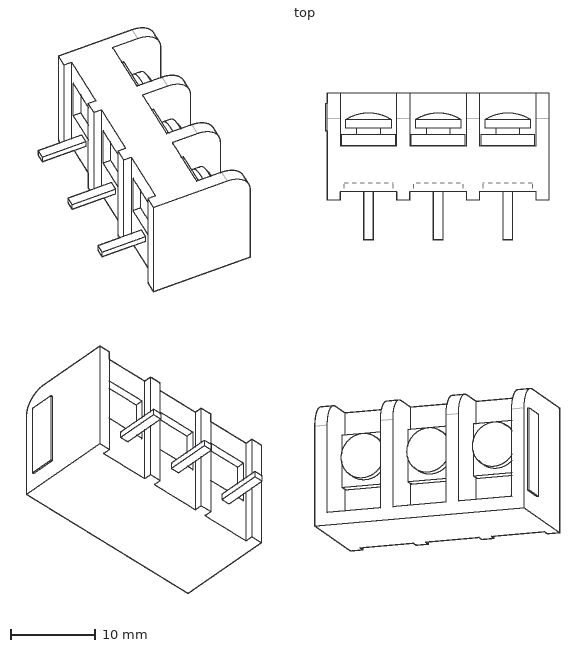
import cadquery as cq

overall_width = 26.5
pole_count = 3
pitch = 8.25
wall = 1.56
housing_width = pole_count * pitch + wall
housing_depth = 12.7
housing_height = 15.25
bay_width = pitch - wall
fin_radius = 3.02

bay_depth = 6.3
bay_floor = wall
bay_back = housing_depth - bay_depth

rib_depth = 1.0
window_margin = 0.42
window_width = bay_width - 2 * window_margin
window_bottom = 6.05
window_height = 5.83
window_depth = 1.0

pin_width = 1.17
pin_height = 0.85
pin_bottom = 4.14
pin_tip = -4.7

screw_z = window_bottom + window_height / 2
plate_size = 6.4
plate_thickness = 1.27
plate_gap = 0.1
shank_radius = 1.4
shank_length = 2.15
shank_embed = 0.8
head_radius = 2.7
head_thickness = 1.0
dome_height = 0.8

pad_thickness = overall_width - housing_width
pad_length = 10.05
pad_width = 3.23
pad_bottom = 2.47
pad_edge_gap = 1.25

bay_centers = [wall / 2 + pitch * (i + 0.5) for i in range(pole_count)]


def box(x_center, y_start, z_start, width, depth, height):
    """Box centred on x_center, growing toward +Y and +Z."""
    block = cq.Workplane("XY").box(width, depth, height, centered=(True, False, False))
    return block.translate((x_center, y_start, z_start))


def make_housing():
    block = box(housing_width / 2, 0, 0, housing_width, housing_depth, housing_height)
    block = block.edges(">Y and >Z").fillet(fin_radius)
    for x in bay_centers:
        bay = box(x, bay_back, bay_floor, bay_width, bay_depth, housing_height)
        recess = box(x, 0, 0, bay_width, rib_depth, housing_height)
        window = box(x, rib_depth, window_bottom, window_width, window_depth, window_height)
        block = block.cut(bay).cut(recess).cut(window)
    return block


def make_screw(x):
    """Domed screw revolved about Y, with its shank anchored in the bay wall."""
    head_start = shank_embed + shank_length
    head_end = head_start + head_thickness
    dome_radius = (head_radius**2 + dome_height**2) / (2 * dome_height)
    half_chord = head_radius / 2
    half_chord_drop = dome_radius - (dome_radius**2 - half_chord**2) ** 0.5
    dome_tip = head_end + dome_height
    profile = (
        cq.Workplane("XY")
        .lineTo(shank_radius, 0)
        .lineTo(shank_radius, head_start)
        .lineTo(head_radius, head_start)
        .lineTo(head_radius, head_end)
        .threePointArc((half_chord, dome_tip - half_chord_drop), (0, dome_tip))
        .close()
    )
    screw = profile.revolve(360, (0, 0, 0), (0, 1, 0))
    return screw.translate((x, bay_back - shank_embed, screw_z))


def make_plate(x):
    plate_bottom = screw_z - plate_size / 2
    return box(x, bay_back + plate_gap, plate_bottom, plate_size, plate_thickness, plate_size)


def make_pin(x):
    return box(x, pin_tip, pin_bottom, pin_width, rib_depth - pin_tip, pin_height)


def make_pad():
    pad_start = housing_depth - pad_edge_gap - pad_width
    return box(-pad_thickness / 2, pad_start, pad_bottom, pad_thickness, pad_width, pad_length)


result = make_housing().union(make_pad())
for bay_x in bay_centers:
    result = result.union(make_screw(bay_x)).union(make_plate(bay_x)).union(make_pin(bay_x))